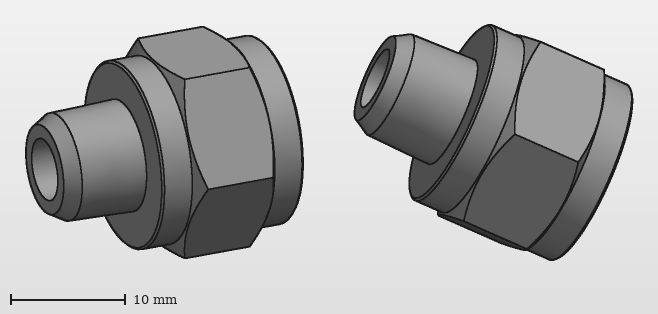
import cadquery as cq
import math

total_length = 21
tip_chamfer_length = 1.4
nipple_length = 7.48
hex_start = 10.31
hex_end = 18.2

hex_across_flats = 17
collar_diameter = 16.7
collar_chamfer = 0.19
nipple_base_diameter = 9.95
nipple_end_diameter = 9.58
tip_diameter = 7.98
bore_diameter = 5.5
hex_chamfer_angle = 30

hex_across_corners = hex_across_flats / math.cos(math.radians(30))
collar_radius = collar_diameter / 2
corner_radius = hex_across_corners / 2
hex_chamfer_length = (corner_radius - collar_radius) * math.tan(math.radians(hex_chamfer_angle))


def revolve_about_y(profile):
    """Revolve a closed (radius, axial position) profile around the Y axis."""
    return cq.Workplane("XY").polyline(profile).close().revolve(360, (0, 0), (0, 1))


def make_turned_body():
    """Tapered nipple and the round collars in front of and behind the hexagon."""
    return revolve_about_y([
        (0, 0),
        (tip_diameter / 2, 0),
        (nipple_end_diameter / 2, tip_chamfer_length),
        (nipple_base_diameter / 2, nipple_length),
        (collar_radius - collar_chamfer, nipple_length),
        (collar_radius, nipple_length + collar_chamfer),
        (collar_radius, total_length - collar_chamfer),
        (collar_radius - collar_chamfer, total_length),
        (0, total_length),
    ])


def make_hexagon():
    """Hexagon with corners on the X axis, its ends trimmed by cones."""
    prism = (
        cq.Workplane("XZ", origin=(0, hex_start, 0))
        .polygon(6, hex_across_corners)
        .extrude(hex_start - hex_end)
    )
    envelope = revolve_about_y([
        (0, hex_start),
        (collar_radius, hex_start),
        (corner_radius, hex_start + hex_chamfer_length),
        (corner_radius, hex_end - hex_chamfer_length),
        (collar_radius, hex_end),
        (0, hex_end),
    ])
    return prism.intersect(envelope)


def make_bore():
    """Cylinder for the bore through the full length."""
    return cq.Workplane("XZ").circle(bore_diameter / 2).extrude(-total_length)


result = make_turned_body().union(make_hexagon()).cut(make_bore())